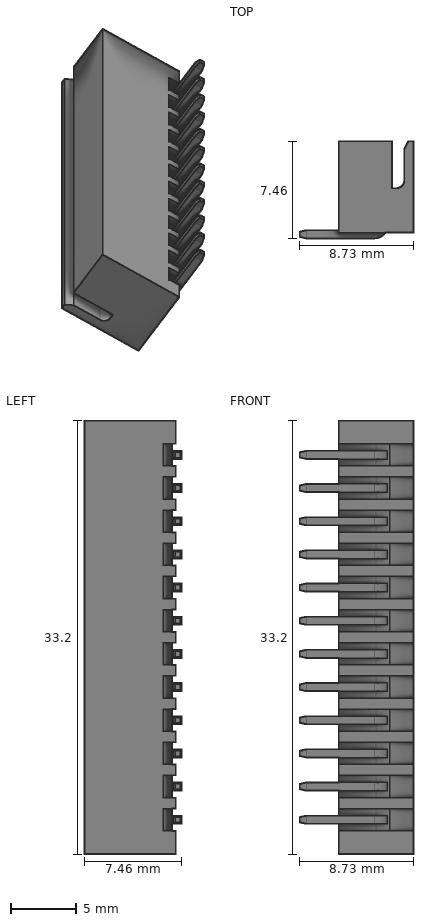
import cadquery as cq
import math

overall_width = 8.73
overall_depth = 7.46
overall_height = 33.2

pin_count = 12
pin_pitch = 2.54
pin_size = 0.64
pin_protrusion = 0.46
pin_bend_radius = 1.0
pin_bend_x = 3.74
pin_leg_end_y = 1.5
pin_tip_length = 0.5
pin_tip_inset = 0.12

housing_depth = overall_depth - pin_protrusion
housing_width = 5.74
pin_overhang = overall_width - housing_width

slot_left_x = 4.1
slot_depth = 3.6
slot_floor_radius = 0.6
tongue_thickness = 0.72
tongue_bevel_width = 0.32
tongue_bevel_length = 0.6

pocket_height = 1.7
pocket_edge_depth = 0.95
pocket_ridge_depth = 0.28
pocket_ridge_start_x = 2.84
pocket_ridge_end_x = 3.93


def make_housing():
    """Rectangular block with the rear slot running along its whole height."""
    slot_right_x = housing_width - tongue_thickness
    slot_floor_y = housing_depth - slot_depth
    arc_center_x = slot_right_x - slot_floor_radius
    arc_center_y = slot_floor_y + slot_floor_radius
    arc_reach = slot_floor_radius * math.sqrt(0.5)
    return (
        cq.Workplane("XY", origin=(0, 0, -overall_height / 2))
        .lineTo(housing_width, 0)
        .lineTo(housing_width, housing_depth)
        .lineTo(slot_right_x + tongue_bevel_width, housing_depth)
        .lineTo(slot_right_x, housing_depth - tongue_bevel_length)
        .lineTo(slot_right_x, arc_center_y)
        .threePointArc(
            (arc_center_x + arc_reach, arc_center_y - arc_reach),
            (arc_center_x, slot_floor_y),
        )
        .lineTo(slot_left_x, slot_floor_y)
        .lineTo(slot_left_x, housing_depth)
        .lineTo(0, housing_depth)
        .close()
        .extrude(overall_height)
    )


def make_pocket(z):
    """Cutter for a front pocket whose floor slopes up to a flat ridge from both sides."""
    return (
        cq.Workplane("XY", origin=(0, 0, z - pocket_height / 2))
        .lineTo(0, pocket_edge_depth)
        .lineTo(pocket_ridge_start_x, pocket_ridge_depth)
        .lineTo(pocket_ridge_end_x, pocket_ridge_depth)
        .lineTo(housing_width, pocket_edge_depth)
        .lineTo(housing_width, 0)
        .close()
        .extrude(pocket_height)
    )


def make_pin(z):
    """Square pin with a tapered tip, bent at a right angle into the housing."""
    front_y = -pin_protrusion
    shank_start_x = pin_tip_length - pin_overhang
    bend_center_x = pin_bend_x - pin_bend_radius
    bend_center_y = front_y + pin_bend_radius
    inner_radius = pin_bend_radius - pin_size
    outer_reach = pin_bend_radius * math.sqrt(0.5)
    inner_reach = inner_radius * math.sqrt(0.5)
    shank = (
        cq.Workplane("XY", origin=(0, 0, z - pin_size / 2))
        .moveTo(shank_start_x, front_y)
        .lineTo(bend_center_x, front_y)
        .threePointArc(
            (bend_center_x + outer_reach, bend_center_y - outer_reach),
            (pin_bend_x, bend_center_y),
        )
        .lineTo(pin_bend_x, pin_leg_end_y)
        .lineTo(pin_bend_x - pin_size, pin_leg_end_y)
        .lineTo(pin_bend_x - pin_size, bend_center_y)
        .threePointArc(
            (bend_center_x + inner_reach, bend_center_y - inner_reach),
            (bend_center_x, front_y + pin_size),
        )
        .lineTo(shank_start_x, front_y + pin_size)
        .close()
        .extrude(pin_size)
    )
    tip_size = pin_size - 2 * pin_tip_inset
    tip = (
        cq.Workplane("YZ", origin=(shank_start_x, front_y + pin_size / 2, z))
        .rect(pin_size, pin_size)
        .workplane(offset=-pin_tip_length)
        .rect(tip_size, tip_size)
        .loft(ruled=True)
    )
    return shank.union(tip)


pin_heights = [(i - (pin_count - 1) / 2) * pin_pitch for i in range(pin_count)]

result = make_housing()
for pin_z in pin_heights:
    result = result.cut(make_pocket(pin_z))
for pin_z in pin_heights:
    result = result.union(make_pin(pin_z))